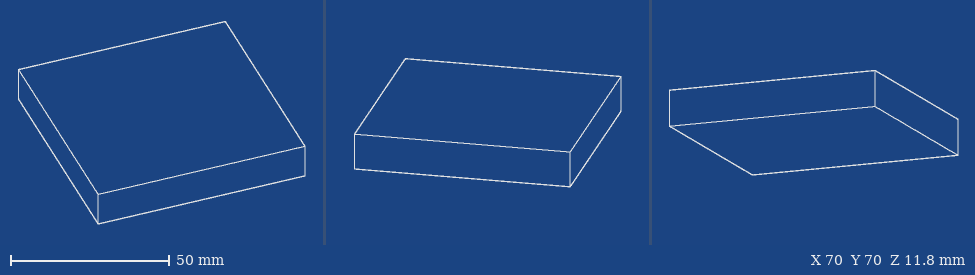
import cadquery as cq

side = 70.0
height = 11.75
dish_depth = 5.6
grid_steps = 12


def dish_point(column, row):
    """Point of the dish: zero sag along every side, full sag at the centre."""
    u = 2 * column / grid_steps - 1
    v = 2 * row / grid_steps - 1
    sag = dish_depth * (1 - u ** 2) * (1 - v ** 2)
    return cq.Vector(u * side / 2, v * side / 2, height - sag)


grid_range = range(grid_steps + 1)
dish_points = [[dish_point(column, row) for row in grid_range] for column in grid_range]
dish_face = cq.Face.makeSplineApprox(dish_points, tol=0.001, minDeg=2, maxDeg=4)

block = cq.Workplane("XY").box(side, side, height, centered=(True, True, False))
space_above_dish = cq.Solid.extrudeLinear(dish_face, cq.Vector(0, 0, height))
result = block.cut(cq.Workplane(obj=space_above_dish))